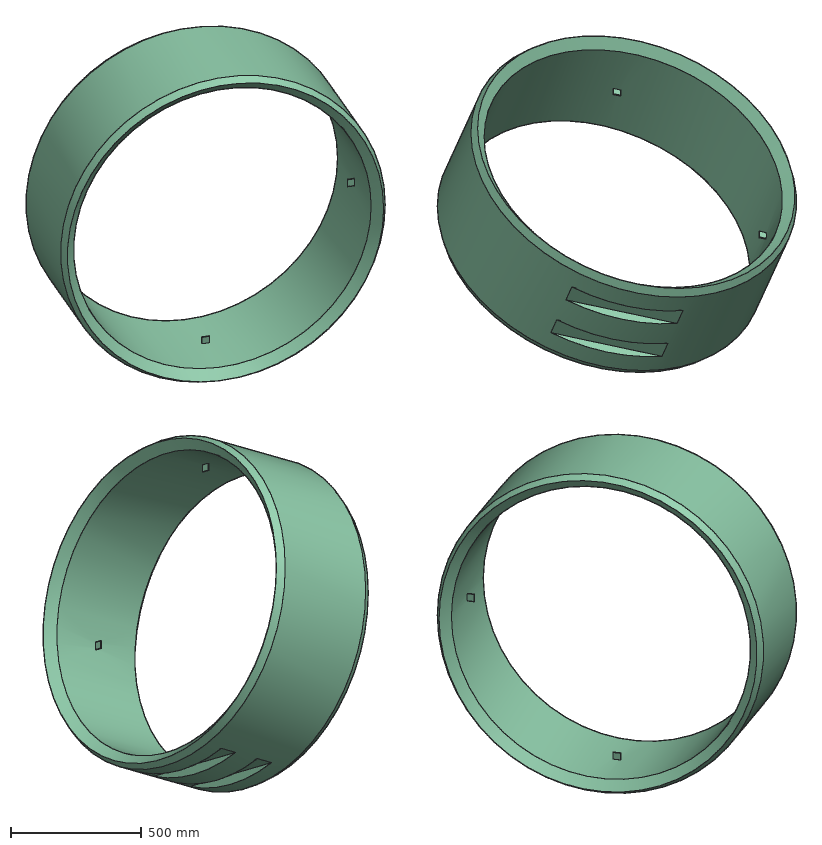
import cadquery as cq

outer_diameter = 1310.0
inner_diameter = 1200.0
ring_width = 496.0
outer_bevel_length = 31.0
outer_bevel_depth = 17.0

channel_width = 76.0
channel_depth = 39.0
channel_spacing = 194.0

lug_count = 4
lug_width = 30.0
lug_height = 28.0
lug_thickness = 5.0
lug_embed = 5.0

outer_radius = outer_diameter / 2
inner_radius = inner_diameter / 2
half_width = ring_width / 2


def make_ring():
    """Revolve the wall section about X; inner and outer bevels meet in a sharp rim at each end."""
    rim_radius = outer_radius - outer_bevel_depth
    inner_bevel_length = rim_radius - inner_radius
    outer_start = half_width - outer_bevel_length
    inner_start = half_width - inner_bevel_length
    section = cq.Workplane("XY").polyline([
        (-half_width, rim_radius),
        (-inner_start, inner_radius),
        (inner_start, inner_radius),
        (half_width, rim_radius),
        (outer_start, outer_radius),
        (-outer_start, outer_radius),
    ]).close()
    return section.revolve(360, (0, 0, 0), (1, 0, 0))


def make_channel(x_center):
    """Straight cutter along Y that leaves a flat floor in the underside."""
    cutter = cq.Workplane("XY").box(
        channel_width, outer_diameter, channel_depth, centered=(True, True, False)
    )
    return cutter.translate((x_center, 0, -outer_radius))


def make_lug(angle):
    """Block rising inward from the bore, sunk slightly into the wall."""
    lug = cq.Workplane("XY").box(
        lug_thickness, lug_width, lug_height + lug_embed, centered=(True, True, False)
    )
    lug = lug.translate((0, 0, inner_radius - lug_height))
    return lug.rotate((0, 0, 0), (1, 0, 0), angle)


result = make_ring()

for side in (-1, 1):
    result = result.cut(make_channel(side * channel_spacing / 2))

for index in range(lug_count):
    result = result.union(make_lug(index * 360 / lug_count))